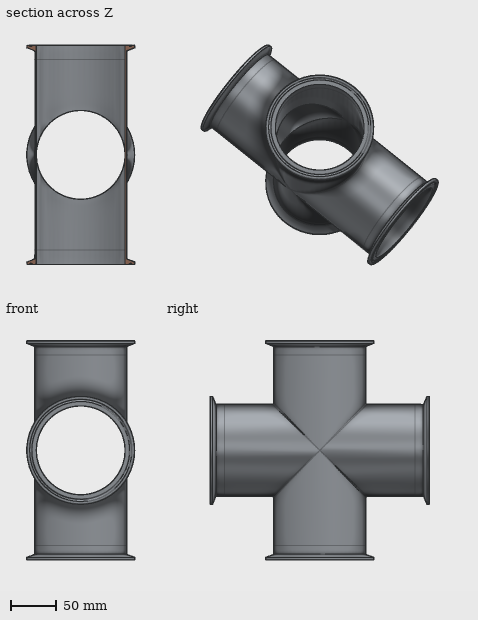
import cadquery as cq

overall_length = 241.3
tube_diameter = 101.5
bore_diameter = 97.5
junction_fillet = 1.5

flange_diameter = 119.0
ferrule_length = 16.0
cone_foot_depth = 6.3
rim_height = 3.0
rim_fillet = 0.7
cone_foot_fillet = 0.7

groove_diameter = 110.0
groove_radius = 1.2
groove_lip_fillet = 0.5

reach = overall_length / 2
tube_radius = tube_diameter / 2
bore_radius = bore_diameter / 2
flange_radius = flange_diameter / 2
groove_centre = groove_diameter / 2
neck_start = reach - ferrule_length
port_angles = (0, 90, 180, 270)


def crossing_cylinders(radius):
    """Two equal cylinders along Z and Y, ending where the ferrules start."""
    upright = cq.Workplane("XY").circle(radius).extrude(neck_start, both=True)
    level = cq.Workplane("XZ").circle(radius).extrude(neck_start, both=True)
    return upright.union(level)


def cross_tube():
    """Hollow cross with blended outer seams."""
    outside = crossing_cylinders(tube_radius).edges("%ELLIPSE").fillet(junction_fillet)
    return outside.cut(crossing_cylinders(bore_radius))


def fillet_circles(body, radius, height, fillet):
    """Round the circular edges of given radius and height about the Z axis."""
    margin = 0.02
    outer = cq.selectors.BoxSelector(
        (-radius - margin, -radius - margin, height - margin),
        (radius + margin, radius + margin, height + margin),
        boundingbox=True,
    )
    inner = cq.selectors.BoxSelector(
        (-radius + margin, -radius + margin, height - margin),
        (radius - margin, radius - margin, height + margin),
        boundingbox=True,
    )
    return body.edges(outer - inner).fillet(fillet)


def ferrule():
    """Weld neck, clamp flange and grooved face, standing along +Z."""
    rim_bottom = reach - rim_height
    cone_foot = reach - cone_foot_depth
    body = (
        cq.Workplane("XZ")
        .moveTo(bore_radius, neck_start)
        .lineTo(tube_radius, neck_start)
        .lineTo(tube_radius, cone_foot)
        .lineTo(flange_radius, rim_bottom)
        .lineTo(flange_radius, reach)
        .lineTo(groove_centre + groove_radius, reach)
        .threePointArc((groove_centre, reach - groove_radius), (groove_centre - groove_radius, reach))
        .lineTo(bore_radius, reach)
        .close()
        .revolve(360, (0, 0, 0), (0, 1, 0))
    )
    rounded_edges = (
        (tube_radius, cone_foot, cone_foot_fillet),
        (flange_radius, reach, rim_fillet),
        (groove_centre + groove_radius, reach, groove_lip_fillet),
        (groove_centre - groove_radius, reach, groove_lip_fillet),
    )
    for radius, height, fillet in rounded_edges:
        body = fillet_circles(body, radius, height, fillet)
    return body


result = cross_tube()
port = ferrule()
for angle in port_angles:
    turned_port = port.rotate((0, 0, 0), (1, 0, 0), angle)
    result = result.union(turned_port, clean=False)